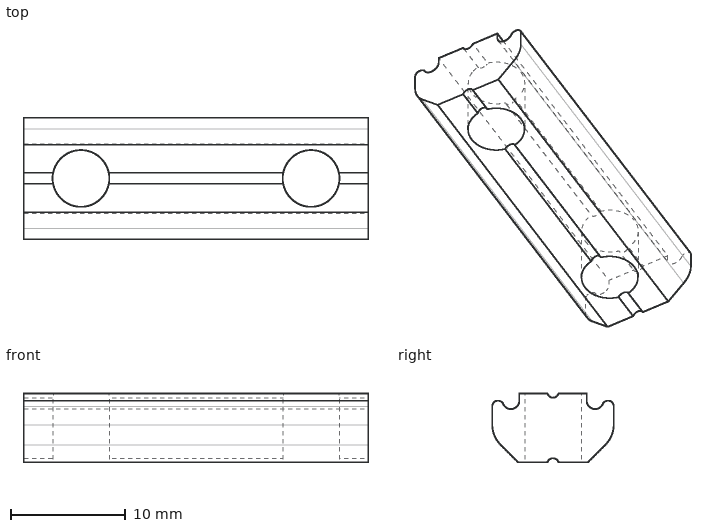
import cadquery as cq
import math

length = 30.0
width = 10.6
height = 6.0

shoulder_half_width = 2.95
groove_radius = 0.72
groove_centre_z = 5.37
lip_radius = 0.5
base_half_width = 3.03
flank_radius = 2.5
flank_angle = 45.0

notch_half_width = 0.48
notch_depth = 0.35

hole_diameter = 4.92
hole_spacing = 20.0

half_width = width / 2
groove_centre_y = shoulder_half_width + groove_radius
lip_centre_y = half_width - lip_radius
lip_offset_y = lip_centre_y - groove_centre_y
lip_offset_z = math.sqrt((groove_radius + lip_radius) ** 2 - lip_offset_y**2)
lip_centre_z = groove_centre_z - lip_offset_z
groove_share = groove_radius / (groove_radius + lip_radius)
blend_point = (
    groove_centre_y + groove_share * lip_offset_y,
    groove_centre_z - groove_share * lip_offset_z,
)

flank = math.radians(flank_angle)
corner_z = (half_width - base_half_width) * math.tan(flank)
flank_centre_y = half_width - flank_radius
flank_centre_z = corner_z + flank_radius * math.tan((math.pi / 2 - flank) / 2)


def flank_arc_point(angle):
    """Point on the flank round, at an angle below horizontal."""
    return (
        flank_centre_y + flank_radius * math.cos(angle),
        flank_centre_z - flank_radius * math.sin(angle),
    )


def half_bar():
    """Extrude the +Y half of the section along the full length."""
    round_end_angle = math.pi / 2 - flank
    return (
        cq.Workplane("YZ", origin=(-length / 2, 0, 0))
        .moveTo(0, 0)
        .lineTo(0, height)
        .lineTo(shoulder_half_width, height)
        .lineTo(shoulder_half_width, groove_centre_z)
        .threePointArc((groove_centre_y, groove_centre_z - groove_radius), blend_point)
        .threePointArc((lip_centre_y, lip_centre_z + lip_radius), (half_width, lip_centre_z))
        .lineTo(half_width, flank_centre_z)
        .threePointArc(flank_arc_point(round_end_angle / 2), flank_arc_point(round_end_angle))
        .lineTo(base_half_width, 0)
        .close()
        .extrude(length)
    )


def notch(face_z, tip_z):
    """Circular-segment cutter running along the middle of a face."""
    return (
        cq.Workplane("YZ", origin=(-length / 2, 0, 0))
        .moveTo(-notch_half_width, face_z)
        .threePointArc((0, tip_z), (notch_half_width, face_z))
        .close()
        .extrude(length)
    )


def holes():
    return (
        cq.Workplane("XY")
        .pushPoints([(-hole_spacing / 2, 0), (hole_spacing / 2, 0)])
        .circle(hole_diameter / 2)
        .extrude(height)
    )


half = half_bar()
bar = half.union(half.mirror("XZ")).clean()
bar = bar.cut(notch(height, height - notch_depth))
bar = bar.cut(notch(0, notch_depth))
result = bar.cut(holes())